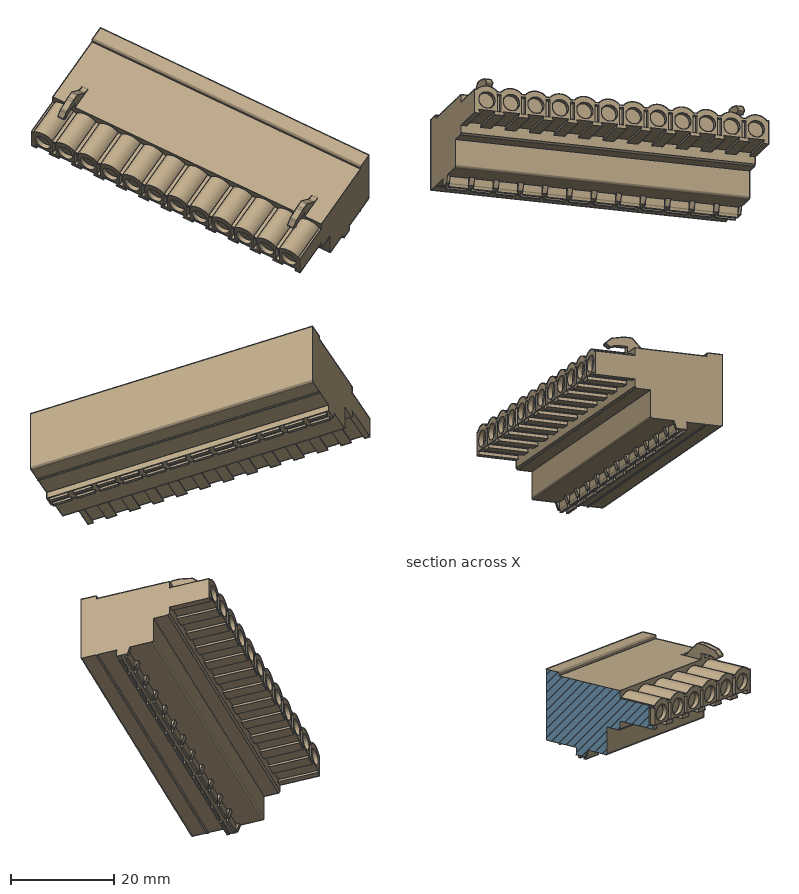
import cadquery as cq
import math


POLE_COUNT = 12
PITCH = 5.0
WIDTH = 60.1
HALF_WIDTH = WIDTH / 2

LOWER_FRONT_Y = -15.1
UPPER_FRONT_Y = -18.4
NOSE_FRONT_Y = -26.6
STEP_Z = 5.65
TOP_Z = 13.8
RAIL_TOP_Z = 14.5
RAIL_DEPTH = 3.3
RAIL_ROUND = 0.3
STEP_CHAMFER = 0.35
BOTTOM_ROUND = 0.35

NOSE_LENGTH = UPPER_FRONT_Y - NOSE_FRONT_Y
NOSE_BOTTOM_Z = 7.5
NOSE_FLANK_Z = 12.25
NOSE_CROWN_Z = 13.2
ENTRY_Z = 10.35
CROWN_RADIUS = NOSE_CROWN_Z - ENTRY_Z
CROWN_HALF_WIDTH = math.sqrt(CROWN_RADIUS**2 - (NOSE_FLANK_Z - ENTRY_Z) ** 2)
ENTRY_DIAMETER = 3.3
ENTRY_DEPTH = 1.0
SLOT_WIDTH = 0.8
SLOT_TOP_Z = 11.75
SLOT_DEPTH = 1.0
NOTCH_ROOF_Z = 8.25
NOTCH_ROOF_WIDTH = 3.3
NOTCH_MOUTH_WIDTH = 2.8

HOOK_THICKNESS = 1.3
HOOK_INSET = 3.7
HOOK_TOP_Z = 16.9
HOOK_UNDERSIDE_Z = 15.05
RAMP_TOP_Y = -17.45
RAMP_FOOT_Y = RAMP_TOP_Y + HOOK_TOP_Z - TOP_Z
RAMP_FOOT_ROUND = 2.2
HOOK_ROOT_LENGTH = 2.0
HOOK_ROOT_DEPTH = 1.0
HOOK_ROOT_BACK_Y = RAMP_FOOT_Y + HOOK_ROOT_LENGTH
HOOK_ROOT_Z = TOP_Z - HOOK_ROOT_DEPTH
RAMP_TOP_ROUND = 0.5
BROW_START = (-19.1, HOOK_TOP_Z)
BROW_END = (-21.75, 16.35)
BROW_END_ROUND = 0.6
BROW_START_ROUND = 2.6
HOOK_NOSE = (-23.0, 15.2)
HOOK_NOSE_ROUND = 0.25
HOOK_BARB = (-21.85, 14.5)
HOOK_THROAT = (-21.5, 14.8)
HOOK_UNDERSIDE_END_Y = -20.6

KEEL_BACK_Y = -7.45
KEEL_ROOT_FRONT_Y = -10.2
KEEL_TIP_FRONT_Y = -9.65
KEEL_TIP_Z = -1.5
CONTACT_WIDTH = 3.95
CONTACT_BACK_Y = -7.6
CONTACT_FRONT_Y = -9.5
FOOT_THICKNESS = 0.5
FOOT_TAPER = 0.05
FOOT_TIP_Z = -2.1
BEAD_Y = -3.35
BEAD_RADIUS = 0.2

POLE_XS = [(i - (POLE_COUNT - 1) / 2) * PITCH for i in range(POLE_COUNT)]
SLOT_XS = [x + PITCH / 2 for x in POLE_XS[:-1]]


def extrude_x(outline, start_x, length):
    """Extrude a closed (Y, Z) outline along +X from start_x."""
    return cq.Workplane("YZ", origin=(start_x, 0, 0)).polyline(outline).close().extrude(length)


def centred_x(outline, length, centre_x=0.0):
    return extrude_x(outline, centre_x - length / 2, length)


def box(x_centre, x_size, y_range, z_range):
    """Box centred on x_centre that spans the given Y and Z ranges."""
    y_min, y_max = y_range
    z_min, z_max = z_range
    block = cq.Workplane("XY").box(x_size, y_max - y_min, z_max - z_min)
    return block.translate((x_centre, (y_min + y_max) / 2, (z_min + z_max) / 2))


def edge_along_x(body, y, z):
    """Select the lengthwise edge nearest to (y, z)."""
    return body.edges("|X").edges(cq.NearestToPointSelector((0, y, z)))


def make_housing():
    body = centred_x(
        [
            (0, 0),
            (0, RAIL_TOP_Z),
            (-RAIL_DEPTH, RAIL_TOP_Z),
            (-RAIL_DEPTH, TOP_Z),
            (UPPER_FRONT_Y, TOP_Z),
            (UPPER_FRONT_Y, STEP_Z),
            (LOWER_FRONT_Y, STEP_Z),
            (LOWER_FRONT_Y, 0),
        ],
        WIDTH,
    )
    body = edge_along_x(body, -RAIL_DEPTH, RAIL_TOP_Z).fillet(RAIL_ROUND)
    body = edge_along_x(body, UPPER_FRONT_Y, STEP_Z).chamfer(STEP_CHAMFER)
    body = edge_along_x(body, LOWER_FRONT_Y, 0).fillet(BOTTOM_ROUND)
    return edge_along_x(body, 0, 0).fillet(BOTTOM_ROUND)


def make_nose():
    """Row of round-topped barrels with blind entries, dividing slots and dovetail notches."""
    nose_y = (NOSE_FRONT_Y, UPPER_FRONT_Y)
    nose = box(0, WIDTH, nose_y, (NOSE_BOTTOM_Z, NOSE_FLANK_Z))
    front = cq.Workplane("XZ", origin=(0, NOSE_FRONT_Y, 0))
    entry_centres = [(x, ENTRY_Z) for x in POLE_XS]
    for x in POLE_XS:
        crown = front.moveTo(x - CROWN_HALF_WIDTH, NOSE_FLANK_Z).threePointArc(
            (x, NOSE_CROWN_Z), (x + CROWN_HALF_WIDTH, NOSE_FLANK_Z)
        ).close().extrude(-NOSE_LENGTH)
        nose = nose.union(crown)

    entries = front.pushPoints(entry_centres).circle(ENTRY_DIAMETER / 2).extrude(-ENTRY_DEPTH)
    nose = nose.cut(entries)

    slot_height = SLOT_TOP_Z - NOTCH_ROOF_Z
    slot_z = NOTCH_ROOF_Z + slot_height / 2
    slot_centres = [(x, slot_z) for x in SLOT_XS]
    slots = front.pushPoints(slot_centres).rect(SLOT_WIDTH, slot_height).extrude(-SLOT_DEPTH)
    nose = nose.cut(slots)

    for x in POLE_XS:
        notch = front.polyline(
            [
                (x - NOTCH_MOUTH_WIDTH / 2, NOSE_BOTTOM_Z),
                (x - NOTCH_ROOF_WIDTH / 2, NOTCH_ROOF_Z),
                (x + NOTCH_ROOF_WIDTH / 2, NOTCH_ROOF_Z),
                (x + NOTCH_MOUTH_WIDTH / 2, NOSE_BOTTOM_Z),
            ]
        ).close().extrude(-NOSE_LENGTH)
        nose = nose.cut(notch)
    return nose


def make_hook(start_x):
    """Locking hook: a ramp rising from the top face to a barbed beak over the nose."""
    hook = extrude_x(
        [
            (HOOK_ROOT_BACK_Y, HOOK_ROOT_Z),
            (HOOK_ROOT_BACK_Y, TOP_Z),
            (RAMP_FOOT_Y, TOP_Z),
            (RAMP_TOP_Y, HOOK_TOP_Z),
            BROW_START,
            BROW_END,
            HOOK_NOSE,
            HOOK_BARB,
            HOOK_THROAT,
            (HOOK_UNDERSIDE_END_Y, HOOK_UNDERSIDE_Z),
            (UPPER_FRONT_Y, HOOK_UNDERSIDE_Z),
            (UPPER_FRONT_Y, HOOK_ROOT_Z),
        ],
        start_x,
        HOOK_THICKNESS,
    )
    hook = edge_along_x(hook, RAMP_FOOT_Y, TOP_Z).fillet(RAMP_FOOT_ROUND)
    hook = edge_along_x(hook, RAMP_TOP_Y, HOOK_TOP_Z).fillet(RAMP_TOP_ROUND)
    hook = edge_along_x(hook, *BROW_START).fillet(BROW_START_ROUND)
    hook = edge_along_x(hook, *BROW_END).fillet(BROW_END_ROUND)
    return edge_along_x(hook, *HOOK_NOSE).fillet(HOOK_NOSE_ROUND)


def make_keel():
    """Tapered keel along the underside, cut back to upright faces at each contact."""
    return centred_x(
        [
            (KEEL_BACK_Y, STEP_Z),
            (KEEL_BACK_Y, KEEL_TIP_Z),
            (KEEL_TIP_FRONT_Y, KEEL_TIP_Z),
            (KEEL_ROOT_FRONT_Y, 0),
            (KEEL_ROOT_FRONT_Y, STEP_Z),
        ],
        WIDTH,
    )


def make_contact_relief(x):
    """Space in front of one contact, where the keel is cut back."""
    return box(x, CONTACT_WIDTH, (KEEL_ROOT_FRONT_Y, CONTACT_FRONT_Y), (KEEL_TIP_Z, 0))


def make_foot(x, outer_y, inward):
    """Thin foot below a contact whose outer face leans inward (inward is +1 or -1 along Y)."""
    return centred_x(
        [
            (outer_y, 0),
            (outer_y, KEEL_TIP_Z),
            (outer_y + inward * FOOT_TAPER, FOOT_TIP_Z),
            (outer_y + inward * FOOT_THICKNESS, FOOT_TIP_Z),
            (outer_y + inward * FOOT_THICKNESS, 0),
        ],
        CONTACT_WIDTH,
        x,
    )


def make_bead():
    bead = cq.Workplane("YZ", origin=(-HALF_WIDTH, 0, 0)).center(BEAD_Y, 0)
    return bead.circle(BEAD_RADIUS).extrude(WIDTH)


result = make_housing().union(make_nose())
result = result.union(make_hook(-HALF_WIDTH + HOOK_INSET))
result = result.union(make_hook(HALF_WIDTH - HOOK_INSET - HOOK_THICKNESS))
result = result.union(make_keel()).union(make_bead())
for pole_x in POLE_XS:
    result = result.cut(make_contact_relief(pole_x))
    result = result.union(make_foot(pole_x, CONTACT_FRONT_Y, 1))
    result = result.union(make_foot(pole_x, CONTACT_BACK_Y, -1))